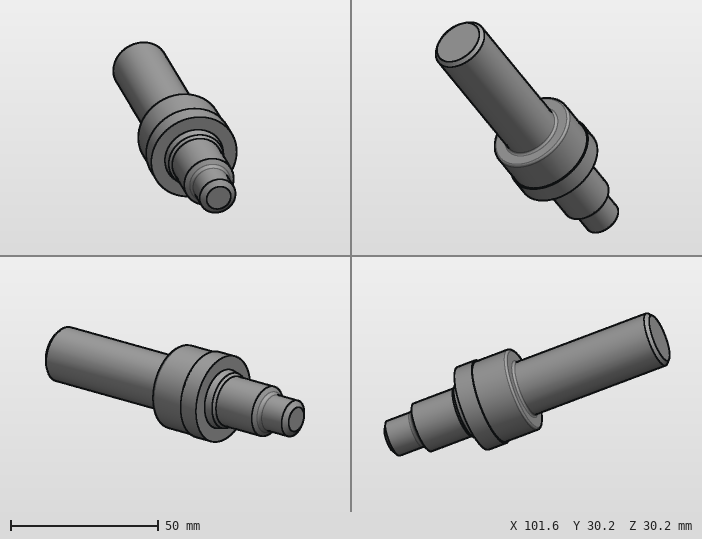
import cadquery as cq
import math

INCH = 25.4

shank_length = 2.0 * INCH
shank_radius = 0.375 * INCH
shank_chamfer = 1.3
shoulder_fillet = INCH / 32

head_length = 0.5 * INCH
head_radius = 14.6
head_fillet = INCH / 32
flange_end = 0.76 * INCH
flange_diameter = 30.18
flange_radius = flange_diameter / 2

collar_length = 2.75
collar_base_radius = 10.3
collar_tip_radius = 9.7
collar_chamfer_length = 0.95

nose_radius = 8.75
nose_end = 38.4
nose_cone_angle = math.radians(60)
pilot_radius = 0.25 * INCH
pilot_fillet = INCH / 16
pilot_end = 2.0 * INCH
pilot_chamfer_length = 1.4
pilot_chamfer_depth = 2.1

fillet_start_radius = pilot_radius + pilot_fillet * (1 - math.cos(nose_cone_angle))
fillet_start = nose_end + (nose_radius - fillet_start_radius) / math.tan(nose_cone_angle)
fillet_end = fillet_start + pilot_fillet * math.sin(nose_cone_angle)
fillet_center_radius = pilot_radius + pilot_fillet
fillet_mid = (
    fillet_end - pilot_fillet * math.sin(nose_cone_angle / 2),
    fillet_center_radius - pilot_fillet * math.cos(nose_cone_angle / 2),
)

collar_end = flange_end + collar_length
nose_start = collar_end + collar_chamfer_length

profile = (
    cq.Workplane("XZ")
    .moveTo(-shank_length, 0)
    .lineTo(-shank_length, shank_radius - shank_chamfer)
    .lineTo(-shank_length + shank_chamfer, shank_radius)
    .lineTo(-shoulder_fillet, shank_radius)
    .radiusArc((0, shank_radius + shoulder_fillet), -shoulder_fillet)
    .lineTo(0, head_radius - head_fillet)
    .radiusArc((head_fillet, head_radius), head_fillet)
    .lineTo(head_length, head_radius)
    .lineTo(head_length, flange_radius)
    .lineTo(flange_end, flange_radius)
    .lineTo(flange_end, collar_base_radius)
    .lineTo(collar_end, collar_tip_radius)
    .lineTo(nose_start, nose_radius)
    .lineTo(nose_end, nose_radius)
    .lineTo(fillet_start, fillet_start_radius)
    .threePointArc(fillet_mid, (fillet_end, pilot_radius))
    .lineTo(pilot_end - pilot_chamfer_length, pilot_radius)
    .lineTo(pilot_end, pilot_radius - pilot_chamfer_depth)
    .lineTo(pilot_end, 0)
    .close()
)

full_turn = 360
result = profile.revolve(full_turn, (0, 0, 0), (1, 0, 0))